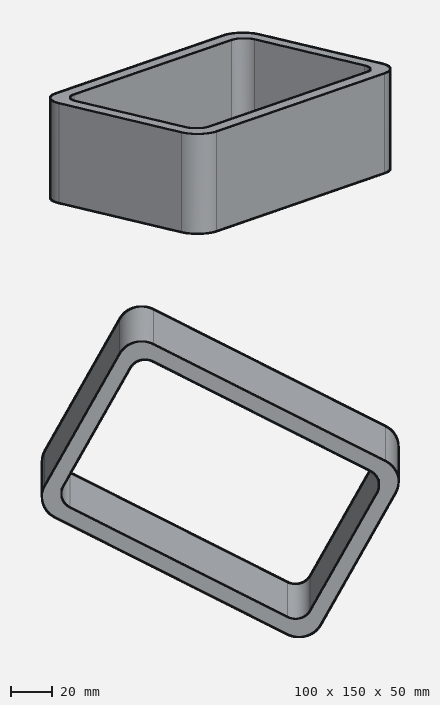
import cadquery as cq

length = 150.0
width = length * 2 / 3
height = length / 3
wall = 8.0
outer_radius = 1.5 * wall
inner_radius = wall


def rounded_block(size_x, size_y, corner_radius):
    """Block of the full height with rounded vertical edges."""
    block = cq.Workplane("XY").rect(size_x, size_y).extrude(height)
    return block.edges("|Z").fillet(corner_radius)


outer_body = rounded_block(width, length, outer_radius)
opening = rounded_block(width - 2 * wall, length - 2 * wall, inner_radius)

result = outer_body.cut(opening)